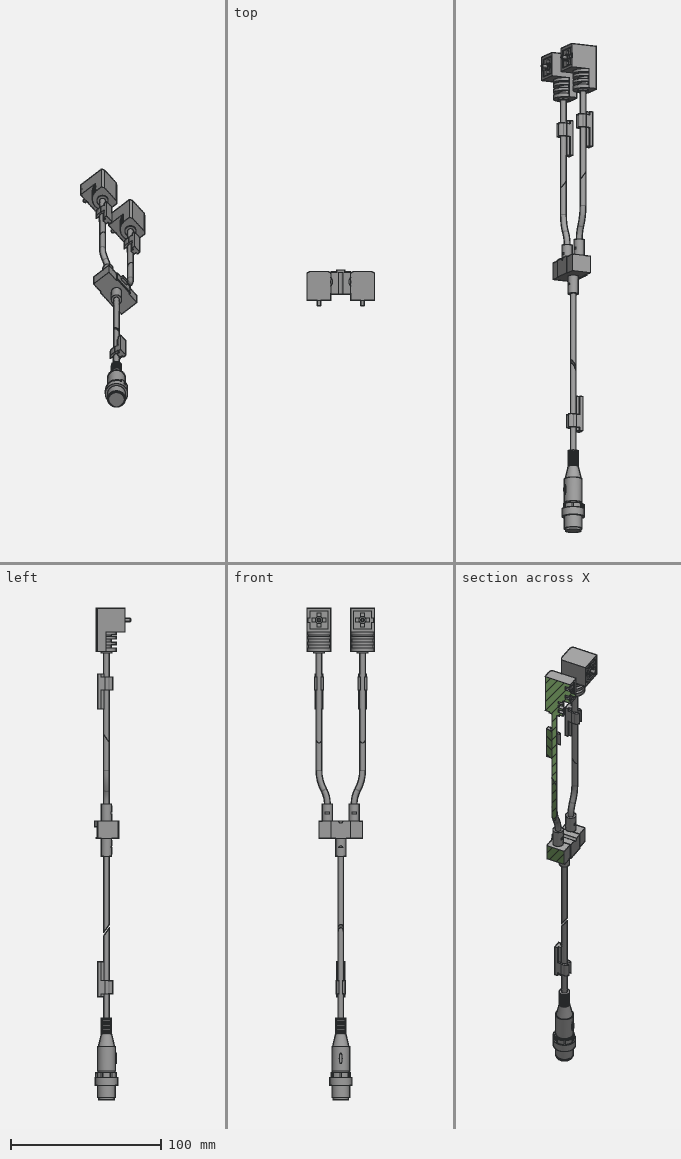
import cadquery as cq
import math


total_height = 327.75
overall_depth = 24.13
branch_dia = 4.0
trunk_dia = 3.8
plug_spacing = 29.0

plug_width = 16.0
plug_height = 29.0
plug_front = -12.4
plug_back = 6.9
plug_bevel_x = 2.0
plug_bevel_y = 1.0
head_height = 16.0
spine_front = 0.4
ribbed_front = -6.6
rib_step = 0.25
rib_floor_inset = 3.4
rib_side_inset = 0.8
rib_grooves = ((17.9, 18.9), (20.7, 22.7), (24.6, 26.5))
plug_collar_dia = 7.5
plug_collar_height = 1.0
face_recess = 11.8
face_recess_depth = 1.0
key_depth = 1.4
key_height = 3.0
screw_dia = 2.5
screw_tip_chamfer = 0.5
screw_boss_dia = 4.7
slot_width = 2.8
slot_length = 2.4
slot_depth = 3.0
slot_radius = 3.6

block_width = 29.0
block_top = 186.0
block_bottom = 174.3
block_front = -8.4
block_back = 6.2
core_width = 13.0
end_step = 0.6
end_drop = 0.3
sole_back = 6.9
sole_height = 0.5
tab_width = 5.5
tab_height = 4.0
tab_back = 7.9
top_groove_radius = 1.5
sleeve_dia = 7.0
branch_spacing = 17.8
branch_sleeve_top = 197.3
trunk_sleeve_bottom = 162.3
sleeve_mark_width = 3.0
sleeve_mark_height = 1.2
sleeve_mark_depth = 0.4
branch_mark_z = 191.2
trunk_mark_z = 168.9

bend_top = 219.4
bend_middle = 206.5
break_slope = 1.45
break_reach = 10.0
branch_break_z = 240.8
trunk_break_upper_z = 114.2
trunk_break_gap = 2.2

clip_length = 23.5
clip_plate_width = 5.6
clip_back = 5.9
clip_plate_thickness = 2.2
clip_saddle_width = 3.0
clip_saddle_front = 1.8
clip_jaw_width = 6.2
clip_jaw_back = 1.0
clip_jaw_height = 8.8
clip_jaw_front = -4.6
clip_jaw_offset = 2.1
clip_opening = 2.6
upper_clip_top = 283.9
lower_clip_bottom = 68.6

shell_dia = 12.0
shell_top = 35.5
lip_dia = 10.5
lip_height = 1.5
nut_dia = 15.0
nut_bottom = 9.7
nut_top = 15.0
crown_dia = 13.2
crown_top = 18.2
crown_notch_width = 1.2
crown_notch_count = 6
cam_width = 6.0
neck_dia = 11.4
neck_height = 1.1
taper_top_dia = 7.0
taper_base_dia = 11.0
taper_top = 44.0
grommet_dia = 7.0
grommet_top = 54.7
grommet_groove_dia = 5.2
grommet_groove_start = 0.2
grommet_groove_pitch = 1.5
grommet_groove_height = 0.7
grommet_groove_count = 7
mark_width = 2.0
mark_height = 7.0
mark_bottom = 24.2
mark_front = -6.6

plug_bottom = total_height - plug_height
plug_collar_bottom = plug_bottom - plug_collar_height
head_bottom = total_height - head_height
face_z = total_height - head_height / 2
screw_tip = tab_back - overall_depth
upper_cable_x = plug_spacing / 2
branch_x = branch_spacing / 2


def block(x_size, y_start, y_end, z_start, z_end, x_middle=0.0):
    """Box centred on x_middle between the given Y and Z limits."""
    return (
        cq.Workplane("XY")
        .box(x_size, y_end - y_start, z_end - z_start)
        .translate((x_middle, (y_start + y_end) / 2, (z_start + z_end) / 2))
    )


def rod(dia, z_start, z_end, x=0.0):
    """Upright cylinder on the cable plane."""
    return cq.Workplane("XY", origin=(x, 0, z_start)).circle(dia / 2).extrude(z_end - z_start)


def below_break(z_middle, slope):
    """Space below a slanted cable end that crosses the cable axis at z_middle."""
    rise = break_reach * slope
    return (
        cq.Workplane("YZ", origin=(-plug_spacing, 0, 0))
        .polyline([
            (-break_reach, z_middle - rise),
            (break_reach, z_middle + rise),
            (break_reach, 0),
            (-break_reach, 0),
        ])
        .close()
        .extrude(2 * plug_spacing)
    )


def bowed_outline(half_width, front, z_start, z_end):
    """Slab with a straight back at spine_front and an arc-shaped front."""
    return (
        cq.Workplane("XY", origin=(0, 0, z_start))
        .moveTo(-half_width, spine_front)
        .threePointArc((0, front), (half_width, spine_front))
        .close()
        .extrude(z_end - z_start)
    )


def plug_contact_face(head):
    """Recessed contact field with a key notch, four contact slots and the fixing screw."""
    recess_floor = plug_front + face_recess_depth
    half_recess = face_recess / 2
    head = head.cut(block(face_recess, plug_front, recess_floor, face_z - half_recess, face_z + half_recess))
    head = head.cut(block(key_depth, plug_front, recess_floor, face_z - key_height / 2,
                          face_z + key_height / 2, -half_recess - key_depth / 2))
    for quarter in range(4):
        angle = 90 * quarter
        slot = block(slot_width, recess_floor, recess_floor + slot_depth,
                     face_z + slot_radius - slot_length / 2, face_z + slot_radius + slot_length / 2)
        head = head.cut(slot.rotate((0, 0, face_z), (0, 1, face_z), angle))
    face = cq.Workplane("XZ", origin=(0, recess_floor, face_z))
    boss = face.circle(screw_boss_dia / 2).extrude(face_recess_depth)
    screw = face.circle(screw_dia / 2).extrude(recess_floor - screw_tip)
    screw = screw.faces("<Y").chamfer(screw_tip_chamfer)
    return head.union(boss).union(screw)


def make_left_plug():
    """Plug with its length of cable, built on X = 0 with the key towards -X."""
    side = plug_width / 2
    spine = (
        cq.Workplane("XY", origin=(0, 0, plug_bottom))
        .polyline([
            (-side, spine_front),
            (side, spine_front),
            (side, plug_back - plug_bevel_y),
            (side - plug_bevel_x, plug_back),
            (plug_bevel_x - side, plug_back),
            (-side, plug_back - plug_bevel_y),
        ])
        .close()
        .extrude(plug_height)
    )
    head = block(plug_width, plug_front, spine_front, head_bottom, total_height)
    plug = spine.union(plug_contact_face(head))

    half_width = side - rib_step
    ribs = bowed_outline(half_width, ribbed_front, plug_bottom, head_bottom)
    for start, end in rib_grooves:
        z_start = total_height - end
        z_end = total_height - start
        floor = bowed_outline(half_width - rib_side_inset, ribbed_front + rib_floor_inset, z_start, z_end)
        groove = bowed_outline(half_width, ribbed_front, z_start, z_end).cut(floor)
        ribs = ribs.cut(groove)

    collar = rod(plug_collar_dia, plug_collar_bottom, plug_bottom)
    cable = rod(branch_dia, bend_top, plug_collar_bottom).cut(below_break(branch_break_z, break_slope))
    return plug.union(ribs).union(collar).union(cable)


def branch_cable():
    """Right-hand branch: S-bend of two tangent arcs, then straight up to the slanted joint."""
    bend_drop = bend_top - branch_sleeve_top
    half_angle = math.atan2(upper_cable_x - branch_x, bend_drop)
    turn = 2 * half_angle
    upper_radius = (bend_top - bend_middle) / math.sin(turn)
    lower_radius = (bend_middle - branch_sleeve_top) / math.sin(turn)

    def upper_point(angle):
        x = upper_cable_x - upper_radius * (1 - math.cos(angle))
        return (x, bend_top - upper_radius * math.sin(angle))

    def lower_point(angle):
        x = branch_x + lower_radius * (1 - math.cos(angle))
        return (x, branch_sleeve_top + lower_radius * math.sin(angle))

    path = (
        cq.Workplane("XZ")
        .moveTo(branch_x, branch_sleeve_top)
        .threePointArc(lower_point(half_angle), lower_point(turn))
        .threePointArc(upper_point(half_angle), (upper_cable_x, bend_top))
    )
    bend = cq.Workplane("XY", origin=(branch_x, 0, branch_sleeve_top)).circle(branch_dia / 2).sweep(path)
    straight = rod(branch_dia, bend_top, plug_collar_bottom, upper_cable_x)
    return bend.union(straight.intersect(below_break(branch_break_z, break_slope)))


def sleeve_mark(x, z, triangular):
    """Shallow pocket in the front of a sleeve: a triangle pointing up, or else a bar."""
    half_width = sleeve_mark_width / 2
    half_height = sleeve_mark_height / 2
    corners = [(-half_width, -half_height), (half_width, -half_height)]
    if triangular:
        corners += [(0, half_height)]
    else:
        corners += [(half_width, half_height), (-half_width, half_height)]
    plane = cq.Workplane("XZ", origin=(x, sleeve_mark_depth - sleeve_dia / 2, z))
    return plane.polyline(corners).close().extrude(sleeve_mark_depth)


def make_distributor():
    core = block(core_width, block_front, block_back, block_bottom, block_top)
    ends = block(block_width, block_front + end_step, block_back - end_step,
                 block_bottom, block_top - end_drop)
    sole = block(core_width, block_back, sole_back, block_bottom, block_bottom + sole_height)
    body = core.union(ends).union(sole)
    top_groove = (
        cq.Workplane("XZ", origin=(0, block_back, block_top))
        .circle(top_groove_radius)
        .extrude(block_back - block_front)
    )
    body = body.cut(top_groove)
    body = body.union(block(tab_width, block_back, tab_back, block_top - tab_height, block_top))

    trunk_sleeve = rod(sleeve_dia, trunk_sleeve_bottom, block_bottom)
    body = body.union(trunk_sleeve.cut(sleeve_mark(0, trunk_mark_z, True)))
    trunk = rod(trunk_dia, grommet_top, trunk_sleeve_bottom)
    body = body.union(trunk.cut(below_break(trunk_break_upper_z, -break_slope)))

    right_cable = branch_cable()
    for side, cable in ((1, right_cable), (-1, right_cable.mirror("YZ"))):
        x = side * branch_x
        sleeve = rod(sleeve_dia, block_top - end_drop, branch_sleeve_top, x)
        body = body.union(sleeve.cut(sleeve_mark(x, branch_mark_z, False))).union(cable)
    return body


def make_clip(bore_dia):
    """Clip on X = 0 with its plate starting at Z = 0 and the jaw near that end."""
    plate_front = clip_back - clip_plate_thickness
    jaw_top = clip_jaw_offset + clip_jaw_height
    plate = block(clip_plate_width, plate_front, clip_back, 0, clip_length)
    saddle = block(clip_saddle_width, clip_saddle_front, plate_front, 0, clip_length)
    neck = block(clip_plate_width, clip_jaw_back, clip_back, clip_jaw_offset, jaw_top)
    round_middle = clip_jaw_front + clip_jaw_width / 2
    jaw = block(clip_jaw_width, round_middle, clip_jaw_back, clip_jaw_offset, jaw_top)
    jaw = jaw.union(rod(clip_jaw_width, clip_jaw_offset, jaw_top).translate((0, round_middle, 0)))
    opening = block(clip_opening, clip_jaw_front, 0, clip_jaw_offset, jaw_top)
    bore = rod(bore_dia, 0, clip_length)
    return plate.union(saddle).union(neck).union(jaw).cut(opening).cut(bore)


def make_connector():
    """Turned shell with coupling nut, tapered neck, ribbed grommet and its length of cable."""
    body = rod(lip_dia, 0, lip_height)
    body = body.union(rod(shell_dia, lip_height, crown_top))
    body = body.union(rod(neck_dia, crown_top, crown_top + neck_height))
    body = body.union(rod(shell_dia, crown_top + neck_height, shell_top))
    body = body.union(rod(nut_dia, nut_bottom, nut_top))

    crown = rod(crown_dia, nut_top, crown_top)
    cam = rod(nut_dia, nut_top, crown_top).intersect(block(cam_width, 0, nut_dia, nut_top, crown_top))
    crown = crown.union(cam)
    for index in range(crown_notch_count):
        notch = block(crown_notch_width, -nut_dia, -shell_dia / 2, nut_top, crown_top)
        crown = crown.cut(notch.rotate((0, 0, 0), (0, 0, 1), index * 360 / crown_notch_count))
    body = body.union(crown)

    taper = (
        cq.Workplane("XY", origin=(0, 0, shell_top))
        .circle(taper_base_dia / 2)
        .workplane(offset=taper_top - shell_top)
        .circle(taper_top_dia / 2)
        .loft()
    )
    grommet = rod(grommet_dia, taper_top, grommet_top)
    for index in range(grommet_groove_count):
        z = taper_top + grommet_groove_start + index * grommet_groove_pitch
        ring = rod(grommet_dia, z, z + grommet_groove_height)
        grommet = grommet.cut(ring.cut(rod(grommet_groove_dia, z, z + grommet_groove_height)))
    mark = (
        cq.Workplane("XZ", origin=(0, 0, mark_bottom + mark_height / 2))
        .ellipse(mark_width / 2, mark_height / 2)
        .extrude(-mark_front)
    )
    cable = rod(trunk_dia, grommet_top, trunk_sleeve_bottom)
    cable = cable.intersect(below_break(trunk_break_upper_z - trunk_break_gap, -break_slope))
    return body.union(taper).union(grommet).union(mark).union(cable)


left_plug = make_left_plug()
right_plug = left_plug.mirror("YZ")
distributor = make_distributor()
connector = make_connector()
lower_clip = make_clip(trunk_dia).translate((0, 0, lower_clip_bottom))
upper_clip = make_clip(branch_dia).mirror("XY").translate((0, 0, upper_clip_top))

bodies = [
    left_plug.translate((-upper_cable_x, 0, 0)).val(),
    right_plug.translate((upper_cable_x, 0, 0)).val(),
    distributor.val(),
    connector.val(),
    lower_clip.val(),
]
for side in (-1, 1):
    bodies.append(upper_clip.translate((side * upper_cable_x, 0, 0)).val())

result = cq.Compound.makeCompound(bodies)